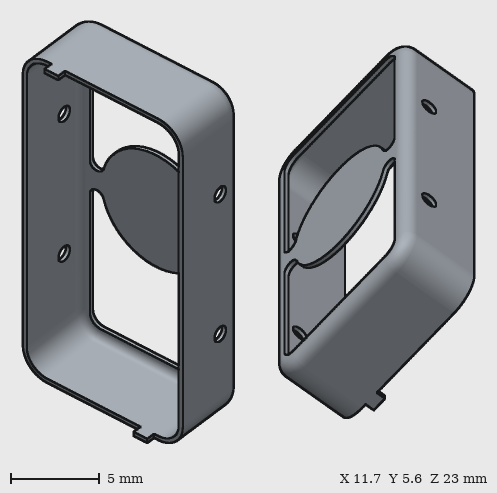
import cadquery as cq

width = 11.7
height = 23.0
depth = 5.0
wall = 0.3
corner_radius = 1.8
back_edge_radius = 0.8

opening_inset = 1.0
opening_width = width - 2 * opening_inset
opening_height = height - 2 * opening_inset
opening_radius = corner_radius - opening_inset

disc_radius = 4.0
bridge_height = 1.4
notch_radius = 0.5

hole_diameter = 1.0
hole_spacing = 10.0
hole_from_back = 1.7

tab_width = 1.0
tab_length = 0.6
tab_offset = 3.25

floor_front = depth - wall


def rounded_block(size_x, size_z, radius, y_start, y_end):
    """Block running along Y, with its four long edges rounded."""
    block = cq.Workplane("XY").box(size_x, y_end - y_start, size_z)
    return block.edges("|Y").fillet(radius).translate((0, (y_start + y_end) / 2, 0))


def make_tray():
    """Shell of even thickness, rounded where the walls meet the floor."""
    outer = rounded_block(width, height, corner_radius, 0, depth)
    outer = outer.faces(">Y").edges().fillet(back_edge_radius)
    cavity = rounded_block(width - 2 * wall, height - 2 * wall, corner_radius - wall, 0, floor_front)
    cavity = cavity.faces(">Y").edges().fillet(back_edge_radius - wall)
    return outer.cut(cavity)


def make_windows():
    """Cutter for the two floor openings left free by the disc and its bridges."""
    opening = rounded_block(opening_width, opening_height, opening_radius, floor_front, depth)
    disc = cq.Workplane("XZ", origin=(0, depth, 0)).circle(disc_radius).extrude(wall)
    bridge = cq.Workplane("XZ", origin=(0, depth, 0)).rect(opening_width, bridge_height).extrude(wall)
    windows = opening.cut(disc).cut(bridge)

    half_zone = (opening_width / 2 + wall, depth, bridge_height)
    notch_zone = cq.selectors.BoxSelector(tuple(-size for size in half_zone), half_zone)
    return windows.edges("|Y").edges(notch_zone).fillet(notch_radius)


def make_side_holes():
    """Cutter for the holes, long enough to pass through both side walls."""
    hole_y = depth - hole_from_back
    return (
        cq.Workplane("YZ", origin=(-width / 2, 0, 0))
        .pushPoints([(hole_y, side * hole_spacing / 2) for side in (-1, 1)])
        .circle(hole_diameter / 2)
        .extrude(width)
    )


def make_tab(side):
    """Tab on the top wall (side = 1) or on the bottom wall (side = -1)."""
    tab_z = side * (height - wall) / 2
    tab = cq.Workplane("XY").box(tab_width, tab_length + wall, wall)
    return tab.translate((-side * tab_offset, (wall - tab_length) / 2, tab_z))


result = make_tray().cut(make_windows()).cut(make_side_holes())
for wall_side in (1, -1):
    result = result.union(make_tab(wall_side))